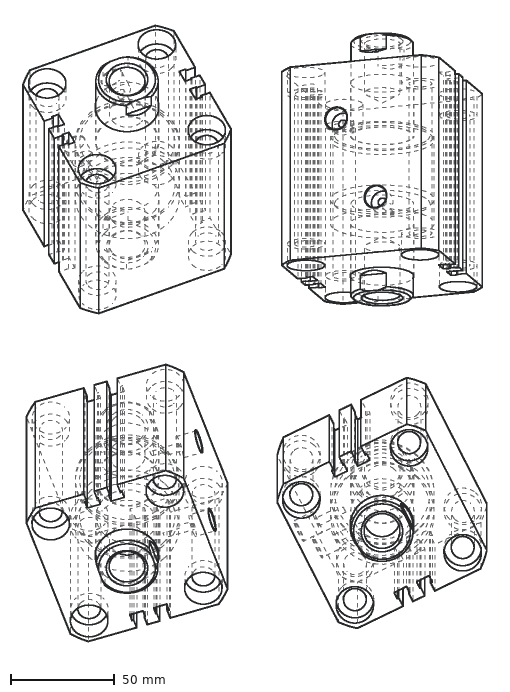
import cadquery as cq
import math


total_length = 129.0
body_width = 80.0
body_height = 97.0
body_corner_diameter = 104.0
body_bottom = 11.0
body_top = body_bottom + body_height
body_middle = (body_bottom + body_top) / 2
side_distance = body_width / 2

bolt_spacing = 58.0
bolt_hole_diameter = 11.0
counterbore_diameter = 18.0
counterbore_depth = 11.0

neck_inner = 3.2
neck_outer = 8.5
undercut_inner = 2.7
undercut_outer = 9.4
neck_inner_depth = 4.6
neck_outer_depth = 4.9
undercut_start_depth = 4.5
slot_depth = 8.0

rod_diameter = 30.0
rod_end_chamfer = 1.3
rod_middle = total_length / 2
rod_clearance = 0.32
rod_passage_diameter = rod_diameter + 2 * rod_clearance

flat_spacing = 27.0
flat_length = 8.1
flat_runout = (rod_diameter - flat_spacing) / 2

bore_diameter = 17.3
bore_mouth_diameter = 20.0
bore_depth = 25.8
drill_point_angle = 118.0

piston_diameter = 50.0
piston_chamfer = 2.0
piston_top = 81.5
piston_bottom = 2 * rod_middle - piston_top
chamber_bottom = 37.5

port_diameter = 10.8
port_mouth_chamfer = 0.32
port_mouth_diameter = port_diameter + 2 * port_mouth_chamfer
port_depth = 10.0
port_passage_diameter = 4.0
port_passage_length = side_distance - rod_passage_diameter / 2
port_offset_y = 10.0
port_offset_z = 20.5


def z_cylinder(diameter, bottom, top):
    """Cylinder on the Z axis."""
    return cq.Workplane("XY").workplane(offset=bottom).circle(diameter / 2).extrude(top - bottom)


def mirror_end_to_end(shape):
    """Copy of a shape at the opposite end of the rod."""
    return shape.mirror("XY", (0, 0, rod_middle))



def make_block():
    """Square block whose four corners are rounded off by one large cylinder."""
    block = cq.Workplane("XY").workplane(offset=body_bottom).rect(body_width, body_width).extrude(body_height)
    return block.intersect(z_cylinder(body_corner_diameter, body_bottom, body_top))


def make_slot(side_x, side_y):
    """Full-height undercut slot; the signs choose its half of the side and the side itself."""
    profile = [
        (neck_inner, 0),
        (neck_inner, neck_inner_depth),
        (undercut_inner, undercut_start_depth),
        (undercut_inner, slot_depth),
        (undercut_outer, slot_depth),
        (undercut_outer, undercut_start_depth),
        (neck_outer, neck_outer_depth),
        (neck_outer, 0),
    ]
    points = [(side_x * distance, side_y * (side_distance - depth)) for distance, depth in profile]
    return cq.Workplane("XY").workplane(offset=body_bottom).polyline(points).close().extrude(body_height)


def make_bolt_hole(side_x, side_y):
    """Through hole in one corner with a counterbore at each end."""
    hole = z_cylinder(bolt_hole_diameter, body_bottom, body_top)
    hole = hole.union(z_cylinder(counterbore_diameter, body_top - counterbore_depth, body_top))
    hole = hole.union(z_cylinder(counterbore_diameter, body_bottom, body_bottom + counterbore_depth))
    return hole.translate((side_x * bolt_spacing / 2, side_y * bolt_spacing / 2, 0))


def make_port(side):
    """Port with a narrow passage into the chamber; side is +1 for the upper port, -1 for the lower."""
    mouth_center = (-side_distance, side * port_offset_y, body_middle + side * port_offset_z)
    inward = cq.Workplane(cq.Plane(origin=mouth_center, xDir=(0, 1, 0), normal=(1, 0, 0)))
    port = inward.circle(port_diameter / 2).extrude(port_depth)
    mouth = (
        inward.circle(port_mouth_diameter / 2)
        .workplane(offset=port_mouth_chamfer)
        .circle(port_diameter / 2)
        .loft()
    )
    passage = inward.circle(port_passage_diameter / 2).extrude(port_passage_length)
    return port.union(mouth).union(passage)


def make_housing():
    body = make_block()
    body = body.cut(z_cylinder(rod_passage_diameter, body_bottom, body_top))
    body = body.cut(z_cylinder(piston_diameter, chamber_bottom, piston_top))
    for side in (-1, 1):
        body = body.cut(make_port(side))
    for side_x in (-1, 1):
        for side_y in (-1, 1):
            body = body.cut(make_slot(side_x, side_y))
            body = body.cut(make_bolt_hole(side_x, side_y))
    return body



def make_end_bore():
    """Bore in the top rod end: chamfered mouth, straight wall and drill-point bottom."""
    bore_radius = bore_diameter / 2
    mouth_radius = bore_mouth_diameter / 2
    wall_top = total_length - (mouth_radius - bore_radius)
    wall_bottom = total_length - bore_depth
    tip = wall_bottom - bore_radius / math.tan(math.radians(drill_point_angle / 2))
    half_section = [
        (0, total_length),
        (mouth_radius, total_length),
        (bore_radius, wall_top),
        (bore_radius, wall_bottom),
        (0, tip),
    ]
    return cq.Workplane("XZ").polyline(half_section).close().revolve(360, (0, 0, 0), (0, 1, 0))


def make_end_flat():
    """Material removed for the +X wrench flat at the top rod end."""
    flat_distance = flat_spacing / 2
    rod_radius = rod_diameter / 2
    flat_bottom = total_length - flat_length
    profile = [
        (flat_distance, total_length),
        (flat_distance, flat_bottom),
        (rod_radius, flat_bottom - flat_runout),
        (rod_radius, total_length),
    ]
    return cq.Workplane("XZ").polyline(profile).close().extrude(rod_radius, both=True)


def make_piston_rod():
    rod = z_cylinder(rod_diameter, 0, total_length).faces("<Z or >Z").chamfer(rod_end_chamfer)
    piston = z_cylinder(piston_diameter, piston_bottom, piston_top).faces("<Z or >Z").chamfer(piston_chamfer)
    rod = rod.union(piston)
    flat = make_end_flat()
    for end_cut in (make_end_bore(), flat, flat.mirror("YZ")):
        rod = rod.cut(end_cut)
        rod = rod.cut(mirror_end_to_end(end_cut))
    return rod


housing = make_housing()
piston_rod = make_piston_rod()
result = cq.Compound.makeCompound([housing.val(), piston_rod.val()])